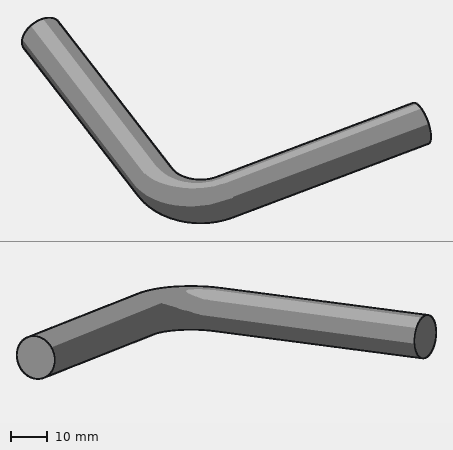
import cadquery as cq

length_x = 86.0
length_y = 81.0
bar_diameter = 12.0
bend_radius = 14.0

bar_radius = bar_diameter / 2
bend_outer_radius = bend_radius + bar_radius
straight_x = length_x - bend_outer_radius
straight_y = length_y - bend_outer_radius

centreline = (
    cq.Workplane("XY")
    .lineTo(straight_x, 0)
    .tangentArcPoint((bend_radius, bend_radius))
    .line(0, straight_y)
)

result = cq.Workplane("YZ").circle(bar_radius).sweep(centreline)